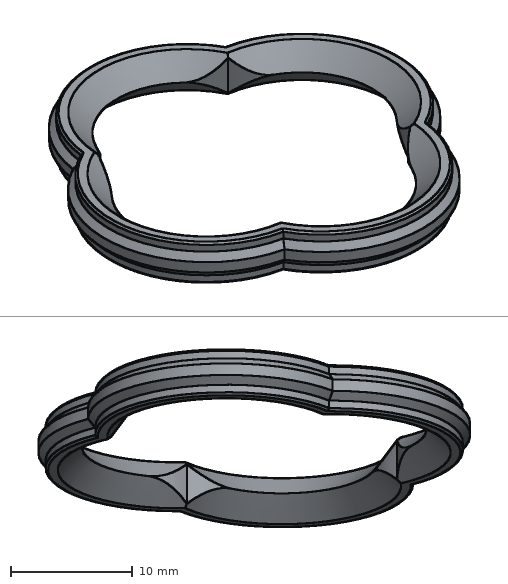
import cadquery as cq
import math

overall_width = 36.37
height = 4.0

lobe_count = 4
lobe_pitch = 360 / lobe_count
lobe_radius = 11.4
lobe_offset = overall_width / 2 - lobe_radius

band_height = 1.0
band_depth = 0.6
flank_height = 0.65
edge_chamfer = 0.2
wall_radius = lobe_radius - band_depth
band_bottom = (height - band_height) / 2
band_top = band_bottom + band_height

mouth_radius = 9.8
throat_radius = 7.8
throat_level = height / 2

corner_reach = 9.2
corner_arc_radius = throat_radius


def turned(section):
    """Turn a section of (radius, level) points into a lobe on the +X side."""
    lobe = cq.Workplane("XZ").polyline(section).close().revolve(360, (0, 0, 0), (0, 1, 0))
    return lobe.translate((lobe_offset, 0, 0))


def outer_lobe():
    """The solid outer shape of one lobe, with its band and chamfered edges."""
    return turned([
        (0, 0),
        (wall_radius - edge_chamfer, 0),
        (wall_radius, edge_chamfer),
        (wall_radius, band_bottom - flank_height),
        (lobe_radius, band_bottom),
        (lobe_radius, band_top),
        (wall_radius, band_top + flank_height),
        (wall_radius, height - edge_chamfer),
        (wall_radius - edge_chamfer, height),
        (0, height),
    ])


def inner_lobe():
    """The opening inside one lobe, waisted at mid-height."""
    return turned([
        (0, 0),
        (mouth_radius, 0),
        (throat_radius, throat_level),
        (mouth_radius, height),
        (0, height),
    ])


def corner_opening():
    """The upright opening between the +X and +Y lobes, with curved walls."""
    center_reach = throat_radius + corner_arc_radius
    run = corner_reach - lobe_offset
    span = math.hypot(run, corner_reach)
    cosine = (span**2 + center_reach**2 - corner_arc_radius**2) / (2 * span * center_reach)
    center_angle = math.atan2(corner_reach, run) - math.acos(cosine)
    center_x = lobe_offset + center_reach * math.cos(center_angle)
    center_y = center_reach * math.sin(center_angle)

    tangent_x = lobe_offset + throat_radius * math.cos(center_angle)
    tangent_y = throat_radius * math.sin(center_angle)
    start_angle = center_angle + math.pi
    end_angle = math.atan2(corner_reach - center_y, corner_reach - center_x) % (2 * math.pi)
    middle_angle = (start_angle + end_angle) / 2
    middle_x = center_x + corner_arc_radius * math.cos(middle_angle)
    middle_y = center_y + corner_arc_radius * math.sin(middle_angle)

    return (
        cq.Workplane("XY")
        .lineTo(tangent_x, tangent_y)
        .threePointArc((middle_x, middle_y), (corner_reach, corner_reach))
        .threePointArc((middle_y, middle_x), (tangent_y, tangent_x))
        .close()
        .extrude(height)
    )


def around_axis(shape, index):
    """Turn a shape about the part's axis to the numbered position."""
    return shape.rotate((0, 0, 0), (0, 0, 1), index * lobe_pitch)


def joined_lobes(shape):
    """Join copies of a shape at every lobe position."""
    joined = shape
    for index in range(1, lobe_count):
        joined = joined.union(around_axis(shape, index))
    return joined


result = joined_lobes(outer_lobe())
result = result.cut(joined_lobes(inner_lobe()))
for corner_index in range(lobe_count):
    result = result.cut(around_axis(corner_opening(), corner_index))